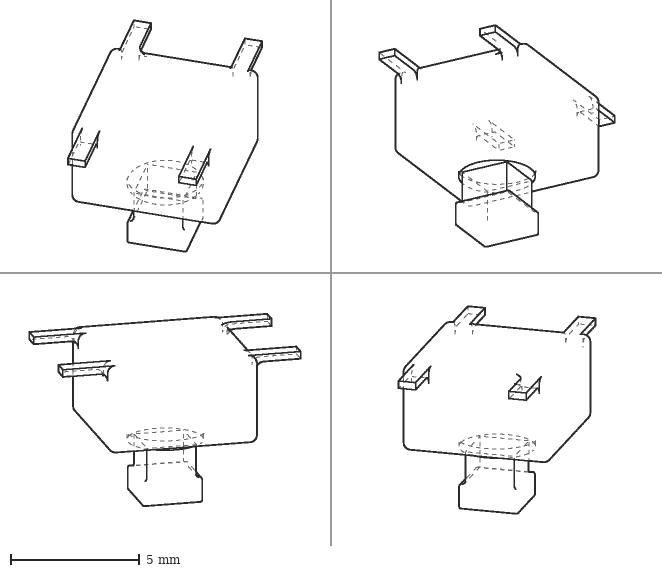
import cadquery as cq

body_side = 6.0
body_height = 3.5
edge_radius = 0.3
lead_span = 9.6
lead_width = 0.7
lead_spacing = 4.5
lead_thickness = edge_radius
lead_fillet = 0.3
collar_diameter = 3.0
collar_height = 0.47
collar_fillet = 0.29
stem_side = 2.0
cap_side = 2.43
cap_fillet = 0.1
stem_fillet = 0.1
total_height = 6.3
cap_height = 1.0

half_body = body_side / 2
cap_top = cap_height - total_height


def square_block(side, bottom, top):
    """Square block centred on the Z axis."""
    return cq.Workplane("XY").workplane(offset=bottom).rect(side, side).extrude(top - bottom)


def make_body():
    """Square housing with every edge rounded."""
    return square_block(body_side, -body_height, 0).edges().fillet(edge_radius)


def make_lead(x_center, y_direction):
    """Flat terminal flush with the top face, blended into the wall below it."""
    wall = y_direction * half_body
    inner_end = wall - y_direction * edge_radius
    tip = y_direction * lead_span / 2
    blend_end = wall + y_direction * lead_fillet
    blend_bottom = -lead_thickness - lead_fillet
    middle = lead_fillet * (1 - 0.5**0.5)
    return (
        cq.Workplane("YZ")
        .workplane(offset=x_center - lead_width / 2)
        .moveTo(inner_end, 0)
        .lineTo(tip, 0)
        .lineTo(tip, -lead_thickness)
        .lineTo(blend_end, -lead_thickness)
        .threePointArc((wall + y_direction * middle, -lead_thickness - middle), (wall, blend_bottom))
        .lineTo(inner_end, blend_bottom)
        .close()
        .extrude(lead_width)
    )


def make_lead_corner_web():
    """Concave web between the inner side of the -X, +Y lead and the rounded top edge.

    Its profile is turned about the axis of the rounded edge and kept above the lead's underside.
    """
    lead_side = (lead_width - lead_spacing) / 2
    axis_y = half_body - edge_radius
    outer_radius = edge_radius + lead_fillet
    middle = lead_fillet * (1 - 0.5**0.5)
    turned = (
        cq.Workplane("XY")
        .moveTo(lead_side, axis_y)
        .lineTo(lead_side, axis_y + outer_radius)
        .threePointArc(
            (lead_side + middle, axis_y + edge_radius + middle),
            (lead_side + lead_fillet, axis_y + edge_radius),
        )
        .lineTo(lead_side + lead_fillet, axis_y)
        .close()
        .revolve(360, (0, axis_y, 0), (1, axis_y, 0))
        .translate((0, 0, -edge_radius))
    )
    lead_layer = cq.Workplane("XY").box(
        lead_fillet, outer_radius, lead_thickness, centered=False
    ).translate((lead_side, axis_y, -lead_thickness))
    return turned.intersect(lead_layer)


def make_collar():
    """Round collar flaring into the underside of the body."""
    radius = collar_diameter / 2
    bottom = -body_height - collar_height
    middle = collar_fillet * (1 - 0.5**0.5)
    return (
        cq.Workplane("XZ")
        .moveTo(0, bottom)
        .lineTo(radius, bottom)
        .lineTo(radius, -body_height - collar_fillet)
        .threePointArc((radius + middle, -body_height - middle), (radius + collar_fillet, -body_height))
        .lineTo(0, -body_height)
        .close()
        .revolve(360, (0, 0, 0), (0, 1, 0))
    )


def make_plunger():
    """Square stem with a wider rounded cap at its lower end."""
    cap = square_block(cap_side, -total_height, cap_top).edges().fillet(cap_fillet)
    stem = square_block(stem_side, cap_top, -body_height)
    flare = square_block(stem_side + 2 * stem_fillet, cap_top, cap_top + stem_fillet)
    for turn in range(4):
        groove = (
            cq.Workplane("XZ")
            .center(stem_side / 2 + stem_fillet, cap_top + stem_fillet)
            .circle(stem_fillet)
            .extrude(cap_side / 2, both=True)
        )
        flare = flare.cut(groove.rotate((0, 0, 0), (0, 0, 1), 90 * turn))
    return cap.union(stem).union(flare)


result = make_body()
for x_sign in (-1, 1):
    for y_sign in (-1, 1):
        result = result.union(make_lead(x_sign * lead_spacing / 2, y_sign))
result = result.union(make_lead_corner_web())
result = result.union(make_collar()).union(make_plunger())